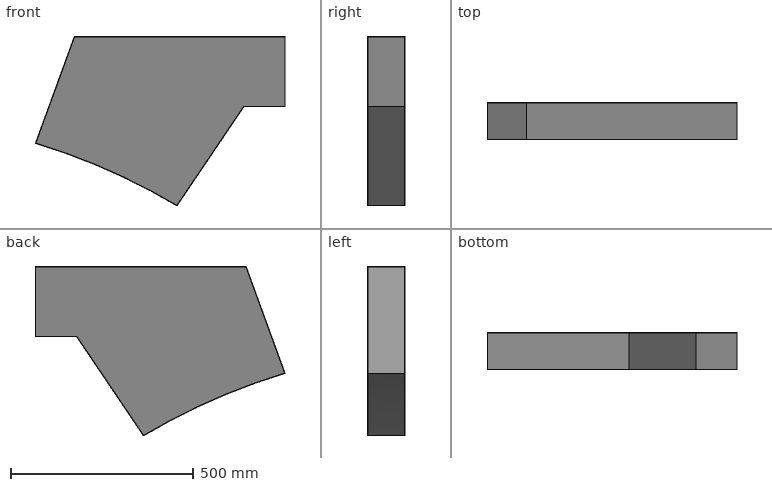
import cadquery as cq
import math

length = 684.0
thickness = 102.0
height = 463.5

top_left_x = 107.0
left_corner_z = 171.0
bottom_tip_x = 388.0
arm_depth = 192.0
arm_underside = 113.0
arc_radius = 1737.0

chord_length = math.hypot(bottom_tip_x, left_corner_z)
arc_rise = arc_radius - math.sqrt(arc_radius**2 - (chord_length / 2) ** 2)
arc_mid_x = bottom_tip_x / 2 + arc_rise * left_corner_z / chord_length
arc_mid_z = left_corner_z / 2 + arc_rise * bottom_tip_x / chord_length

result = (
    cq.Workplane("XZ")
    .moveTo(0, left_corner_z)
    .lineTo(top_left_x, height)
    .lineTo(length, height)
    .lineTo(length, height - arm_depth)
    .lineTo(length - arm_underside, height - arm_depth)
    .lineTo(bottom_tip_x, 0)
    .threePointArc((arc_mid_x, arc_mid_z), (0, left_corner_z))
    .close()
    .extrude(thickness / 2, both=True)
)